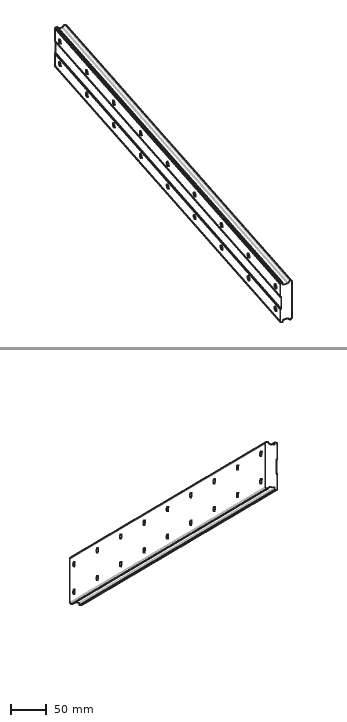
import cadquery as cq
import math

length = 670.0
thickness = 19.0
height = 69.0

lip_thickness = 4.0
lip_chamfer = 1.0
groove_depth = 3.5
lip_fillet = 1.5
bead_fillet = 2.0
bead_tip_radius = 1.5
bead_tip_setback = 3.0
bead_rear_fillet = 1.5

channel_floor_height = 20.0
channel_depth = 1.0

hole_diameter = 7.0
hole_row_spacing = 40.0
hole_end_distance = 15.0
holes_per_row = 9
hole_pitch = (length - 2 * hole_end_distance) / (holes_per_row - 1)

front_y = -thickness / 2
rear_y = thickness / 2
top_z = height / 2


def round_edge(body, y, z, radius):
    """Fillet the edge that runs along X through (y, z)."""
    reach = 0.15
    box = cq.selectors.BoxSelector((-reach, y - reach, z - reach), (reach, y + reach, z + reach))
    return body.edges(box).fillet(radius)


def make_upper_half():
    """The half of the rail above Z = 0, extruded from its Y-Z section."""
    lip_y = front_y + lip_thickness
    floor_z = top_z - groove_depth
    channel_z = channel_floor_height / 2

    apex_y = rear_y - bead_tip_setback
    apex_z = top_z + bead_tip_radius * (math.sqrt(2) - 1)
    bead_foot_y = apex_y - (apex_z - floor_z)
    rear_edge_z = apex_z - bead_tip_setback

    section = [
        (front_y + channel_depth, 0),
        (front_y + channel_depth, channel_z),
        (front_y, channel_z + channel_depth),
        (front_y, top_z - lip_chamfer),
        (front_y + lip_chamfer, top_z),
        (lip_y, top_z),
        (lip_y, floor_z),
        (bead_foot_y, floor_z),
        (apex_y, apex_z),
        (rear_y, rear_edge_z),
        (rear_y, 0),
    ]
    body = cq.Workplane("YZ").polyline(section).close().extrude(length / 2, both=True)
    body = round_edge(body, lip_y, floor_z, lip_fillet)
    body = round_edge(body, bead_foot_y, floor_z, bead_fillet)
    body = round_edge(body, apex_y, apex_z, bead_tip_radius)
    return round_edge(body, rear_y, rear_edge_z, bead_rear_fillet)


def make_holes():
    """Cylinders along Y for both rows of mounting holes."""
    return (
        cq.Workplane("XZ")
        .rarray(hole_pitch, hole_row_spacing, holes_per_row, 2)
        .circle(hole_diameter / 2)
        .extrude(thickness, both=True)
    )


upper_half = make_upper_half()
rail = upper_half.union(upper_half.mirror("XY")).clean()
result = rail.cut(make_holes())